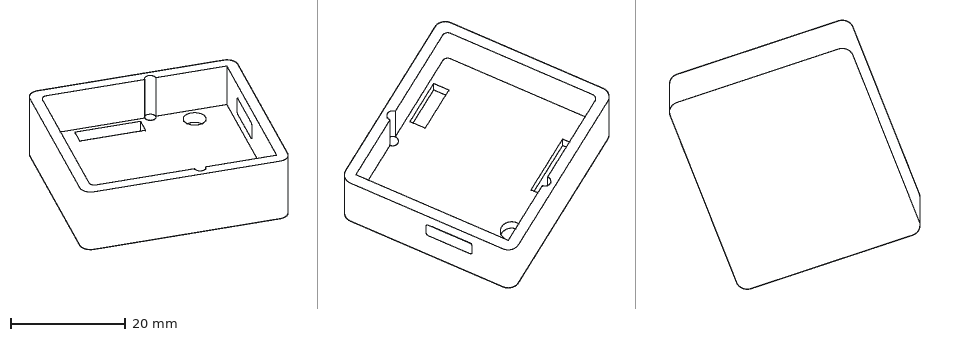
import cadquery as cq

width = 34.0
length = 38.0
height = 12.0
outer_radius = 2.0

wall = 2.0
floor_thickness = 4.0
cavity_radius = 1.0
cavity_width = width - 2 * wall
cavity_length = length - 2 * wall
cavity_depth = height - floor_thickness

recess_depth = 2.0
pocket_width = 3.0
pocket_offset = 12.7
pocket_front = -11.02
left_pocket_length = 12.0
right_pocket_length = 9.0
round_recess_diameter = 4.0
round_recess_x = -12.2
round_recess_y = 10.25

groove_diameter = 2.0
groove_y = 3.0
groove_overcut = 0.05

window_width = 9.0
window_height = 3.3
window_bottom = 6.0
window_right = 0.1
window_radius = 0.5


def make_case():
    case = cq.Workplane("XY").box(width, length, height, centered=(True, True, False))
    return case.edges("|Z").fillet(outer_radius)


def make_cavity():
    cavity = cq.Workplane("XY", origin=(0, 0, floor_thickness)).box(
        cavity_width, cavity_length, cavity_depth, centered=(True, True, False)
    )
    return cavity.edges("|Z and <Y").fillet(cavity_radius)


def make_pocket(center_x, pocket_length):
    center_y = pocket_front + pocket_length / 2
    floor_plane = cq.Workplane("XY", origin=(center_x, center_y, floor_thickness))
    return floor_plane.rect(pocket_width, pocket_length).extrude(-recess_depth)


def make_round_recess():
    floor_plane = cq.Workplane("XY", origin=(round_recess_x, round_recess_y, floor_thickness))
    return floor_plane.circle(round_recess_diameter / 2).extrude(-recess_depth)


def make_grooves():
    groove_x = cavity_width / 2
    return (
        cq.Workplane("XY", origin=(0, groove_y, floor_thickness - groove_overcut))
        .pushPoints([(-groove_x, 0), (groove_x, 0)])
        .circle(groove_diameter / 2)
        .extrude(cavity_depth + groove_overcut)
    )


def make_window():
    center_x = window_right - window_width / 2
    center_y = length / 2 - wall / 2
    center_z = window_bottom + window_height / 2
    window = cq.Workplane("XY").box(window_width, 2 * wall, window_height)
    return window.edges("|Y").fillet(window_radius).translate((center_x, center_y, center_z))


result = (
    make_case()
    .cut(make_cavity())
    .cut(make_pocket(-pocket_offset, left_pocket_length))
    .cut(make_pocket(pocket_offset, right_pocket_length))
    .cut(make_round_recess())
    .cut(make_grooves())
    .cut(make_window())
)